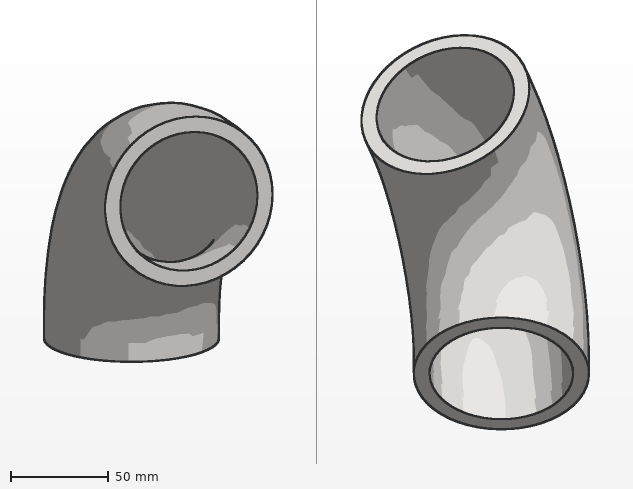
import cadquery as cq

overall_size = 145.0
outer_diameter = 90.0
bore_diameter = 73.7

bend_radius = outer_diameter
collar_length = overall_size - bend_radius - outer_diameter / 2
bend_angle = 90


def elbow_solid(diameter):
    """Round bar that rises along Z, bends toward +X and ends in a straight collar."""
    radius = diameter / 2
    lower_collar = cq.Workplane("XY").circle(radius).extrude(collar_length)
    bend = (
        cq.Workplane("XY", origin=(0, 0, collar_length))
        .circle(radius)
        .revolve(bend_angle, (bend_radius, 0, 0), (bend_radius, 1, 0))
    )
    upper_collar = (
        cq.Workplane("YZ", origin=(bend_radius, 0, collar_length + bend_radius))
        .circle(radius)
        .extrude(collar_length)
    )
    return lower_collar.union(bend).union(upper_collar)


result = elbow_solid(outer_diameter).cut(elbow_solid(bore_diameter))